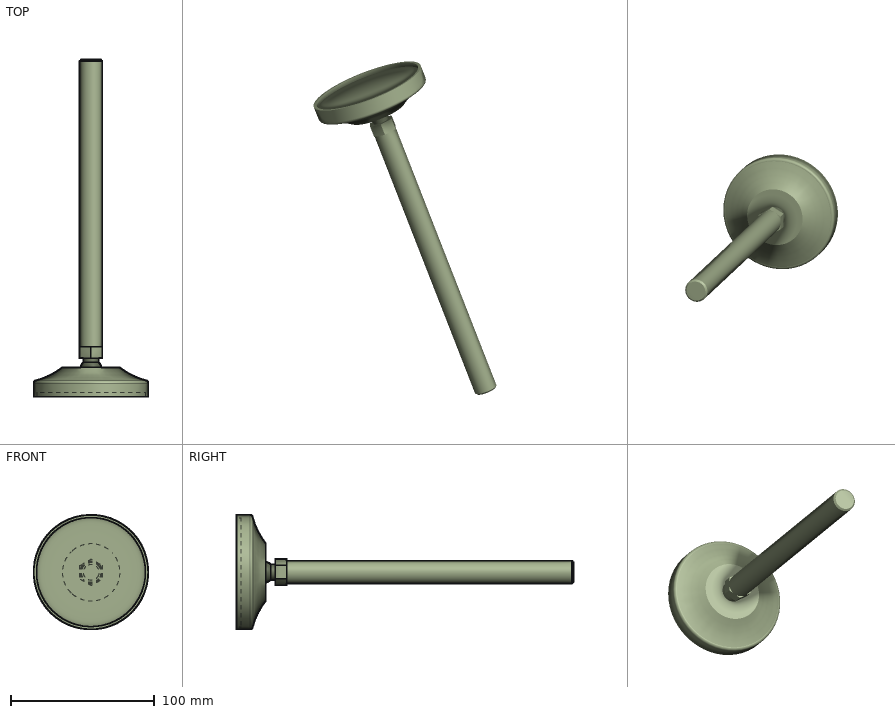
import cadquery as cq
import math

total_length = 235.0

foot_diameter = 80.0
rim_height = 11.5
rim_fillet_radius = 2.0
foot_height = 20.5
foot_top_diameter = 40.0
flank_sag = 1.0
recess_diameter = 76.0
recess_depth = 3.0

neck_diameter = 11.0
ball_diameter = 15.0
neck_start = 24.0

hex_across_flats = 16.0
hex_start = 27.0
hex_height = 8.0

spindle_diameter = 16.0
spindle_chamfer = 1.2

hex_end = hex_start + hex_height
ball_radius = ball_diameter / 2
neck_radius = neck_diameter / 2
ball_center = neck_start - math.sqrt(ball_radius**2 - neck_radius**2)


def at_height(y):
    """Workplane normal to +Y at the given distance from the floor."""
    return cq.Workplane("XZ", origin=(0, y, 0))


def cylinder(diameter, start, end):
    return at_height(start).circle(diameter / 2).extrude(start - end)


def make_foot():
    """Disc with a rounded rim, a hollow-curved flank and a shallow recess underneath."""
    outer_radius = foot_diameter / 2
    top_radius = foot_top_diameter / 2
    profile = (
        cq.Workplane("XY")
        .lineTo(outer_radius, 0)
        .lineTo(outer_radius, rim_height - rim_fillet_radius)
        .radiusArc((outer_radius - rim_fillet_radius, rim_height), -rim_fillet_radius)
        .sagittaArc((top_radius, foot_height), flank_sag)
        .lineTo(0, foot_height)
        .close()
    )
    disc = profile.revolve(360, (0, 0, 0), (0, 1, 0))
    recess = cylinder(recess_diameter, 0, recess_depth)
    return disc.cut(recess)


def make_ball_and_neck():
    ball = cq.Workplane("XY").sphere(ball_radius).translate((0, ball_center, 0))
    return ball.union(cylinder(neck_diameter, ball_center, hex_start))


def make_hexagon():
    """Wrench hexagon with two of its corners in the Z direction."""
    across_corners = hex_across_flats / math.cos(math.pi / 6)
    hexagon = at_height(hex_start).transformed(rotate=(0, 0, 90))
    return hexagon.polygon(6, across_corners).extrude(-hex_height)


def make_spindle():
    spindle = cylinder(spindle_diameter, hex_end, total_length)
    return spindle.faces(">Y").chamfer(spindle_chamfer)


result = make_foot().union(make_ball_and_neck()).union(make_hexagon()).union(make_spindle())